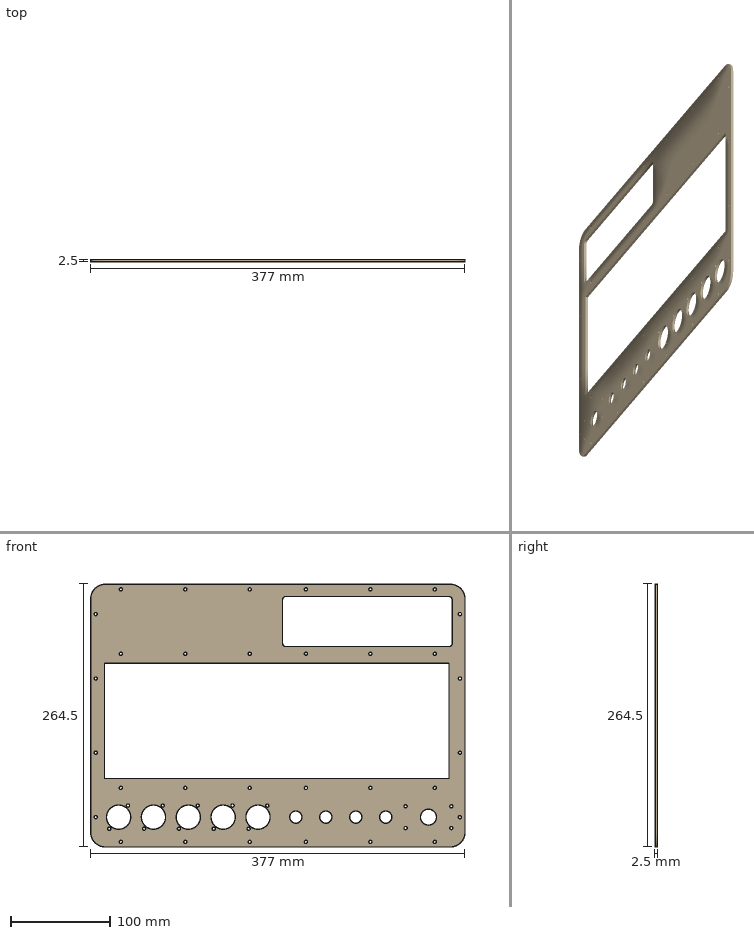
import cadquery as cq

WIDTH = 377.0
HEIGHT = 264.5
THICKNESS = 2.5
CORNER_RADIUS = 15.0

SCREEN_WIDTH = 346.5
SCREEN_HEIGHT = 115.7
SCREEN_CENTER = (-1.0, -5.3)
DISPLAY_WIDTH = 170.5
DISPLAY_HEIGHT = 50.0
DISPLAY_CENTER = (90.0, 94.5)
DISPLAY_CORNER_RADIUS = 3.0

SCREW_DIAMETER = 3.0
EDGE_MARGIN = 5.3
SCREW_PITCH = 65.0
ROW_INNER_X = 28.3
ROW_COLUMNS_PER_SIDE = 3
ROW_XS = [ROW_INNER_X + i * SCREW_PITCH for i in range(ROW_COLUMNS_PER_SIDE)]
OUTER_ROW_Z = HEIGHT / 2 - EDGE_MARGIN
BELOW_SCREEN_ROW_Z = -72.7
ROW_ZS = [OUTER_ROW_Z, OUTER_ROW_Z - SCREW_PITCH, BELOW_SCREEN_ROW_Z, -OUTER_ROW_Z]
SIDE_X = WIDTH / 2 - EDGE_MARGIN
SIDE_INNER_Z = 37.3
SIDE_ZS = [SIDE_INNER_Z, SIDE_INNER_Z + SCREW_PITCH]

CONTROL_Z = -102.0
KNOB_COUNT = 5
KNOB_DIAMETER = 24.0
KNOB_FIRST_X = -160.0
KNOB_PITCH = 35.0
KNOB_SCREW_DX = 9.5
KNOB_SCREW_DZ = 11.5
BUTTON_COUNT = 4
BUTTON_DIAMETER = 12.0
BUTTON_FIRST_X = 18.0
BUTTON_PITCH = 30.0
CONNECTOR_X = 151.5
CONNECTOR_DIAMETER = 16.0
CONNECTOR_SCREW_DX = 23.0
CONNECTOR_SCREW_DZ = 11.0


def plate(width, height, center=(0, 0)):
    """Rectangular slab of panel thickness, centred on Y = 0."""
    x, z = center
    return cq.Workplane("XY").box(width, THICKNESS, height).translate((x, 0, z))


def drill(panel, points, diameter):
    """Cut round through holes at (x, z) points."""
    cutters = (
        cq.Workplane("XZ")
        .pushPoints(points)
        .circle(diameter / 2)
        .extrude(THICKNESS, both=True)
    )
    return panel.cut(cutters)


panel = plate(WIDTH, HEIGHT).edges("|Y").fillet(CORNER_RADIUS)
panel = panel.cut(plate(SCREEN_WIDTH, SCREEN_HEIGHT, SCREEN_CENTER))
display = plate(DISPLAY_WIDTH, DISPLAY_HEIGHT, DISPLAY_CENTER)
panel = panel.cut(display.edges("|Y").fillet(DISPLAY_CORNER_RADIUS))

knobs = [(KNOB_FIRST_X + i * KNOB_PITCH, CONTROL_Z) for i in range(KNOB_COUNT)]
buttons = [(BUTTON_FIRST_X + i * BUTTON_PITCH, CONTROL_Z) for i in range(BUTTON_COUNT)]
panel = drill(panel, knobs, KNOB_DIAMETER)
panel = drill(panel, buttons, BUTTON_DIAMETER)
panel = drill(panel, [(CONNECTOR_X, CONTROL_Z)], CONNECTOR_DIAMETER)

row_screws = [(side * x, z) for z in ROW_ZS for x in ROW_XS for side in (-1, 1)]
side_screws = [(sx * SIDE_X, sz * z) for z in SIDE_ZS for sx in (-1, 1) for sz in (-1, 1)]
knob_screws = [
    (x + side * KNOB_SCREW_DX, z + side * KNOB_SCREW_DZ)
    for x, z in knobs
    for side in (-1, 1)
]
connector_screws = [
    (CONNECTOR_X + sx * CONNECTOR_SCREW_DX, CONTROL_Z + sz * CONNECTOR_SCREW_DZ)
    for sx in (-1, 1)
    for sz in (-1, 1)
]
screws = row_screws + side_screws + knob_screws + connector_screws
result = drill(panel, screws, SCREW_DIAMETER)